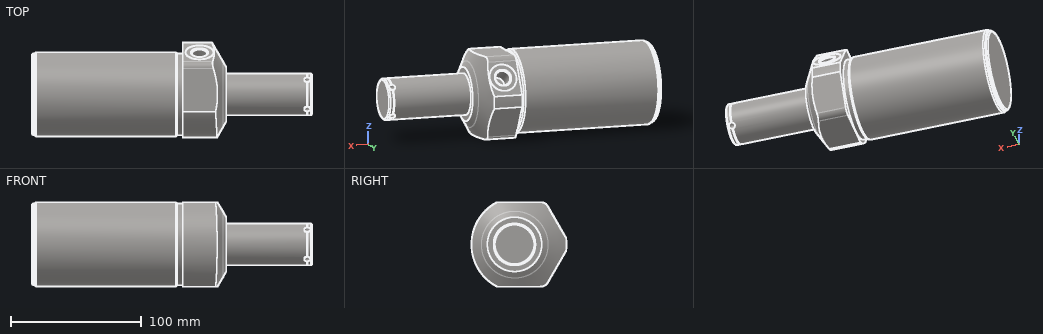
import cadquery as cq
import math

total_length = 215.0
cap_end = 2.1
body_start = 3.5
body_end = 110.3
neck_start = 111.5
head_start = 115.6
head_end = 149.2

body_radius = 32.5
neck_radius = 31.4
cap_chamfer = 1.0
rod_radius = 16.1
rod_chamfer = 1.0

head_half_height = body_radius
slant_distance = 36.8
slant_angle = math.radians(30)
nose_radius = 40.0
shoulder_radius = 6.5
back_edge_y = -13.3
back_y = -33.0

cone_end = 146.4
cone_end_radius = 25.5
head_tip_radius = 20.9
cone_start_radius = 47.3

port_x = 128.5
port_height = 17.6
port_radius = 5.8
port_chamfer = 0.9
port_depth = 17.2
spotface_radius = 10.7
spotface_depth = 0.2

groove_x = 211.0
groove_width = 0.6
groove_depth = 0.2
dimple_radius = 2.4
dimple_angles = (45, 135, 225, 315)

shoulder_y = (slant_distance - head_half_height * math.sin(slant_angle)) / math.cos(slant_angle)
nose_angle = math.acos(slant_distance / nose_radius) - slant_angle
nose_y = nose_radius * math.cos(nose_angle)
nose_z = nose_radius * abs(math.sin(nose_angle))


def revolve_about_x(points):
    """Revolve a closed (x, radius) outline about the X axis."""
    return cq.Workplane("XY").polyline(points).close().revolve(360, (0, 0, 0), (1, 0, 0))


def make_turned_core():
    """Cap, cylinder body, neck and rod."""
    return revolve_about_x([
        (0, 0),
        (0, neck_radius - cap_chamfer),
        (cap_chamfer, neck_radius),
        (cap_end, neck_radius),
        (body_start, body_radius),
        (body_end, body_radius),
        (neck_start, neck_radius),
        (head_start, neck_radius),
        (head_start, rod_radius),
        (total_length - rod_chamfer, rod_radius),
        (total_length, rod_radius - rod_chamfer),
        (total_length, 0),
    ])


def make_head():
    """Prismatic head with rounded corners, trimmed by the conical front."""
    prism = (
        cq.Workplane("YZ", origin=(head_start, 0, 0))
        .moveTo(back_edge_y, head_half_height)
        .lineTo(shoulder_y, head_half_height)
        .lineTo(nose_y, nose_z)
        .threePointArc((nose_radius, 0), (nose_y, -nose_z))
        .lineTo(shoulder_y, -head_half_height)
        .lineTo(back_edge_y, -head_half_height)
        .threePointArc((back_y, 0), (back_edge_y, head_half_height))
        .close()
        .extrude(head_end - head_start)
    )
    for side in (1, -1):
        corner_z = side * head_half_height
        shoulder_box = cq.selectors.BoxSelector(
            (head_start, shoulder_y - 2.1, corner_z - 2.1), (head_end, shoulder_y + 2.1, corner_z + 2.1)
        )
        prism = prism.edges("|X").edges(shoulder_box).fillet(shoulder_radius)

    cone_start = cone_end - (cone_start_radius - cone_end_radius) * math.tan(slant_angle)
    envelope = revolve_about_x([
        (head_start, 0),
        (head_start, cone_start_radius),
        (cone_start, cone_start_radius),
        (cone_end, cone_end_radius),
        (head_end, head_tip_radius),
        (head_end, 0),
    ])
    return prism.intersect(envelope)


def cut_port(part):
    """Spotfaced blind port with a chamfered mouth, square to the upper slanted flat."""
    port_y = (slant_distance - port_height * math.sin(slant_angle)) / math.cos(slant_angle)
    center = cq.Vector(port_x, port_y, port_height)
    inward = cq.Vector(0, -math.cos(slant_angle), -math.sin(slant_angle))
    spotface = cq.Solid.makeCylinder(spotface_radius, spotface_depth, center, inward)
    port = cq.Solid.makeCylinder(port_radius, port_depth, center, inward)
    floor_center = center + inward * spotface_depth
    mouth = cq.Solid.makeCone(port_radius + port_chamfer, port_radius, port_chamfer, floor_center, inward)
    for cutter in (spotface, mouth, port):
        part = part.cut(cq.Workplane(cutter))
    return part


def cut_rod_tip(part):
    """Shallow ring groove with four spherical dimples spaced around it."""
    groove_start = groove_x - groove_width / 2
    groove_end = groove_x + groove_width / 2
    groove = revolve_about_x([
        (groove_start, rod_radius - groove_depth),
        (groove_start, rod_radius + groove_depth),
        (groove_end, rod_radius + groove_depth),
        (groove_end, rod_radius - groove_depth),
    ])
    part = part.cut(groove)
    for angle in dimple_angles:
        dimple_y = rod_radius * math.cos(math.radians(angle))
        dimple_z = rod_radius * math.sin(math.radians(angle))
        part = part.cut(cq.Workplane("XY", origin=(groove_x, dimple_y, dimple_z)).sphere(dimple_radius))
    return part


result = cut_rod_tip(cut_port(make_turned_core().union(make_head())))